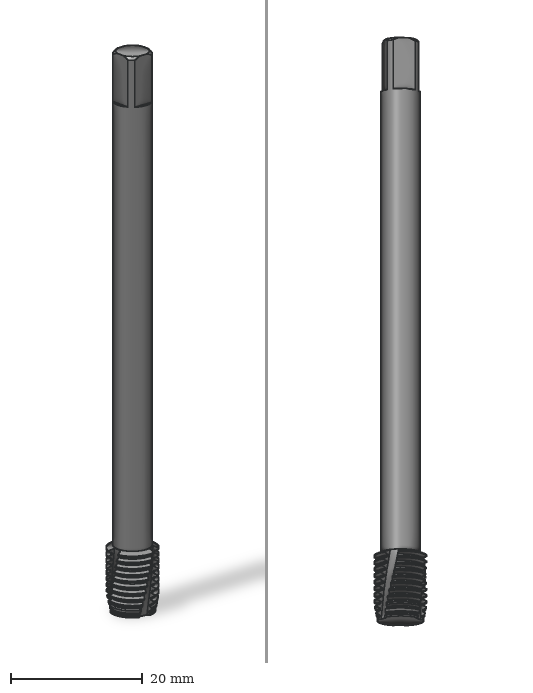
import cadquery as cq
import math

overall_length = 90.0
head_length = 10.5
shank_diameter = 6.0

square_width = 4.95
square_length = 8.0
square_chamfer = 0.45

crest_diameter = 8.0
root_diameter = 6.75
pitches_in_head = 10.5
pitch = head_length / pitches_in_head
crest_flat = pitch / 8
root_flat = pitch / 4

lead_length = 2.7
lead_end_diameter = 7.0

flute_count = 3
flute_floor_radius = 3.1
flute_floor_width = 1.35
flute_mouth_width = 2.4
flute_helix_angle = 15.0
flute_top_direction = -90.0


def revolved(profile):
    """Turn a closed profile of (radius, height) points about the Z axis."""
    return cq.Workplane("YZ").polyline(profile).close().revolve(360, (0, 0), (0, 1))


def make_shank():
    """Round shank with a chamfered square drive on its upper end."""
    rod_length = overall_length - head_length
    rod = (
        cq.Workplane("XY", origin=(0, 0, head_length))
        .circle(shank_diameter / 2)
        .extrude(rod_length)
        .faces(">Z")
        .chamfer(square_chamfer)
    )
    drive_start = overall_length - square_length
    around_drive = (
        cq.Workplane("XY", origin=(0, 0, drive_start))
        .rect(2 * shank_diameter, 2 * shank_diameter)
        .rect(square_width, square_width)
        .extrude(square_length)
    )
    return rod.cut(around_drive)


def thread_profile():
    """Half section of the ring thread, from the top of the head down to its foot."""
    crest_radius = crest_diameter / 2
    root_radius = root_diameter / 2
    half_foot = (pitch - root_flat) / 2
    points = [(0, head_length), (shank_diameter / 2, head_length)]
    for index in range(math.floor(pitches_in_head)):
        crest_height = head_length - (index + 0.5) * pitch
        points += [
            (crest_radius, crest_height + crest_flat / 2),
            (crest_radius, crest_height - crest_flat / 2),
            (root_radius, crest_height - half_foot),
            (root_radius, crest_height - pitch + half_foot),
        ]
    half_crest_at_foot = [(crest_radius, crest_flat / 2), (crest_radius, 0)]
    return points + half_crest_at_foot + [(0, 0)]


def make_lead_envelope():
    """Space left for the head: a cylinder that narrows towards the cutting end."""
    return revolved([
        (0, 0),
        (lead_end_diameter / 2, 0),
        (crest_diameter / 2, lead_length),
        (crest_diameter / 2, head_length),
        (0, head_length),
    ])


def make_flute(direction):
    """Flat-bottomed right-hand spiral groove whose top end points in the given direction."""
    mouth_radius = crest_diameter / 2
    twist = math.degrees(head_length * math.tan(math.radians(flute_helix_angle)) / mouth_radius)
    groove = (
        cq.Workplane("XY")
        .polyline([
            (flute_floor_radius, -flute_floor_width / 2),
            (mouth_radius, -flute_mouth_width / 2),
            (mouth_radius, flute_mouth_width / 2),
            (flute_floor_radius, flute_floor_width / 2),
        ])
        .close()
        .twistExtrude(head_length, twist)
    )
    return groove.rotate((0, 0, 0), (0, 0, 1), direction - twist)


def make_head():
    """Threaded cutting head with a conical lead and evenly spaced spiral flutes."""
    head = revolved(thread_profile()).intersect(make_lead_envelope())
    for index in range(flute_count):
        direction = flute_top_direction + index * 360 / flute_count
        head = head.cut(make_flute(direction))
    return head


shank = make_shank()
head = make_head()
result = cq.Compound.makeCompound([shank.val(), head.val()])